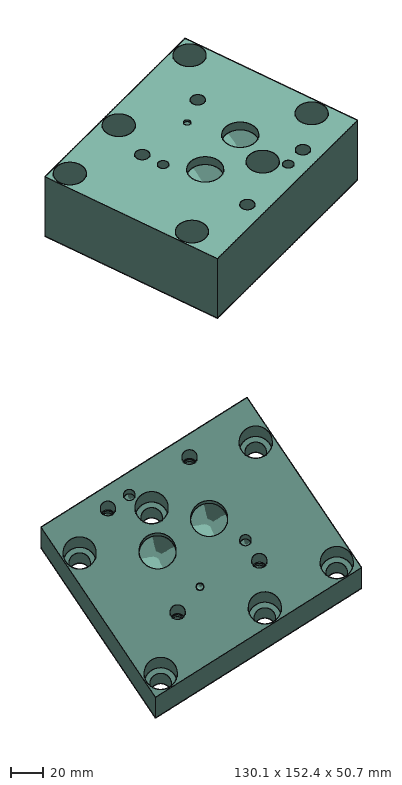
import cadquery as cq
import math

BLOCK_X = 130.1
BLOCK_Y = 152.4
BLOCK_Z = 50.7

DRILL_POINT_ANGLE = 118.0

BOLT_DIAMETER = 13.4
COUNTERBORE_DIAMETER = 20.5
COUNTERBORE_DEPTH = 25.5
BOLT_INSET = 11.1
BOLT_LEFT = BOLT_INSET
BOLT_RIGHT = 103.2
BOLT_FRONT = BOLT_INSET
BOLT_BACK = BLOCK_Y - BOLT_INSET
BOLT_MIDDLE_LEFT = 64.3
BOLT_MIDDLE_RIGHT = BLOCK_Y - BOLT_MIDDLE_LEFT

TAP_DRILL_DIAMETER = 8.0
TAP_DRILL_DEPTH = 25.9
THREAD_DIAMETER = 9.5
THREAD_DEPTH = 21.3
SCREW_LEFT = 38.3
SCREW_RIGHT = 117.5
SCREW_FRONT = 50.7
SCREW_BACK = 111.1

PIN_DIAMETER = 7.2
PIN_DEPTH = 10.7
PIN_LEFT = 54.0
PIN_BACK = 95.2

PORT_DIAMETER = 23.0
PORT_DEPTH = 6.7
PORT_X = 77.9
PORT_FRONT = 62.0
PORT_BACK = 100.1

PILOT_DIAMETER = 4.7
PILOT_DEPTH = 1.5
PILOT_X = 44.5
PILOT_Y = 90.5


def bore(x, y, diameter, depth):
    """Flat-bottomed cylinder going down from the top face."""
    return cq.Workplane("XY", origin=(x, y, BLOCK_Z)).circle(diameter / 2).extrude(-depth)


def drilling(x, y, diameter, depth):
    """Drilled hole: straight for the given depth, then ending in a drill-point cone."""
    radius = diameter / 2
    point_length = radius / math.tan(math.radians(DRILL_POINT_ANGLE / 2))
    profile = [(0, 0), (radius, 0), (radius, -depth), (0, -depth - point_length)]
    half_section = cq.Workplane("XZ", origin=(x, y, BLOCK_Z)).polyline(profile).close()
    return half_section.revolve(360, (0, 0, 0), (0, 1, 0))


result = cq.Workplane("XY").box(BLOCK_X, BLOCK_Y, BLOCK_Z, centered=False)

bolt_places = [
    (BOLT_LEFT, BOLT_FRONT),
    (BOLT_LEFT, BOLT_MIDDLE_LEFT),
    (BOLT_LEFT, BOLT_BACK),
    (BOLT_RIGHT, BOLT_FRONT),
    (BOLT_RIGHT, BOLT_MIDDLE_RIGHT),
    (BOLT_RIGHT, BOLT_BACK),
]
for x, y in bolt_places:
    result = result.cut(bore(x, y, BOLT_DIAMETER, BLOCK_Z))
    result = result.cut(bore(x, y, COUNTERBORE_DIAMETER, COUNTERBORE_DEPTH))

for x in (SCREW_LEFT, SCREW_RIGHT):
    for y in (SCREW_FRONT, SCREW_BACK):
        result = result.cut(drilling(x, y, TAP_DRILL_DIAMETER, TAP_DRILL_DEPTH))
        result = result.cut(bore(x, y, THREAD_DIAMETER, THREAD_DEPTH))

for x, y in [(PIN_LEFT, SCREW_FRONT), (SCREW_RIGHT, PIN_BACK)]:
    result = result.cut(drilling(x, y, PIN_DIAMETER, PIN_DEPTH))

for y in (PORT_FRONT, PORT_BACK):
    result = result.cut(drilling(PORT_X, y, PORT_DIAMETER, PORT_DEPTH))

result = result.cut(drilling(PILOT_X, PILOT_Y, PILOT_DIAMETER, PILOT_DEPTH))